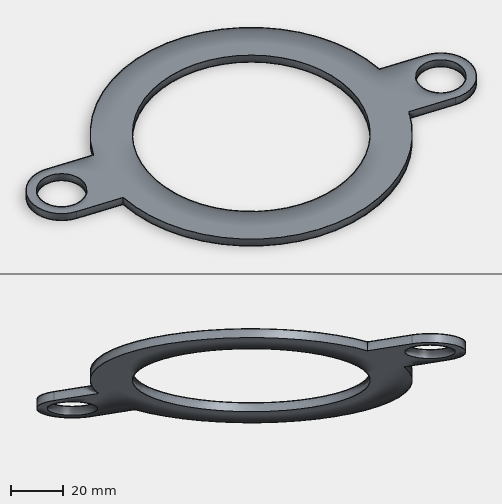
import cadquery as cq

overall_length = 184.9
ring_diameter = 122.0
bore_diameter = 90.0
lug_width = 27.0
lug_hole_diameter = 19.0
thickness = 3.5

lug_hole_spacing = overall_length - lug_width


def make_plate():
    """Flat disc with a round-ended bar across it that forms both lugs."""
    disc = cq.Workplane("XY").circle(ring_diameter / 2).extrude(thickness)
    lug_bar = cq.Workplane("XY").slot2D(overall_length, lug_width, 90).extrude(thickness)
    return disc.union(lug_bar)


def cut_bore(plate):
    """Large central opening."""
    return plate.cut(cq.Workplane("XY").circle(bore_diameter / 2).extrude(thickness))


def cut_lug_holes(plate):
    """One through hole at the centre of each lug's round end."""
    centres = [(0, side * lug_hole_spacing / 2) for side in (-1, 1)]
    holes = (
        cq.Workplane("XY")
        .pushPoints(centres)
        .circle(lug_hole_diameter / 2)
        .extrude(thickness)
    )
    return plate.cut(holes)


result = cut_lug_holes(cut_bore(make_plate()))